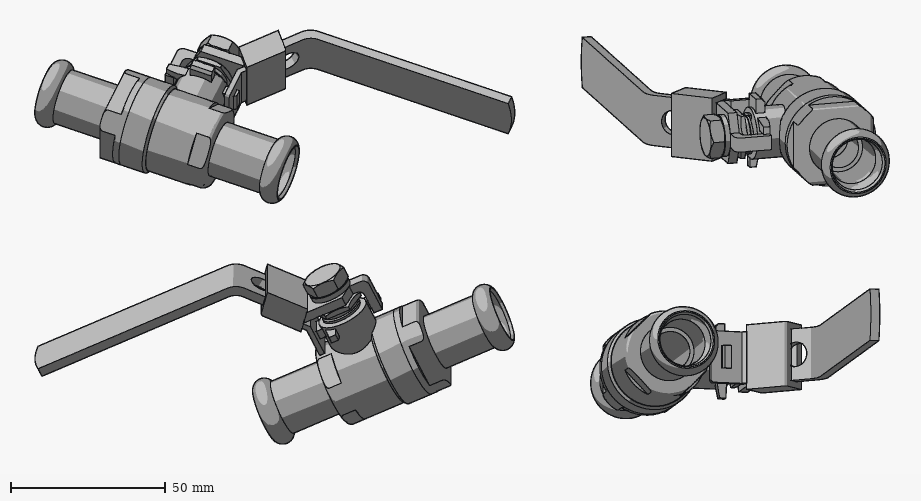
import cadquery as cq
import math


overall_length = 143.9
overall_depth = 65.0

left_end_x = -46.6
right_end_x = 38.4
pipe_dia = 18.4
bead_dia = 22.7
bead_width = 6.3
bead_face_dia = 19.0
mouth_dia = 18.1
seal_rim_dia = 17.0
seal_dia = 19.0
shoulder_dia = 15.5
socket_dia = 15.3
bore_dia = 12.5
seal_start = 1.0
seal_end = 5.3
shoulder_depth = 5.9
socket_start = 7.5
socket_end = 20.1

cap_x = -22.7
cap_flats_end_x = -17.0
joint_x = -14.8
collar_end_x = -5.8
collar_chamfer = 0.9
shell_end_x = 14.1
shell_flats_x = 8.5
collar_dia = 30.0
shell_dia = 28.0
cap_across_flats = 25.8
shell_across_flats = 25.9
edge_radius = 1.3

neck_dia = 17.0
neck_top = 22.5
stop_top = 21.6
stop_bottom = 18.5
stop_reach = 12.4
stop_root = 5.0
stop_slope_height = 0.9
wide_stop_slope = 1.2
tab_stop_slope = 4.0
wide_stop_half_width = 3.7
tab_stop_near = 2.9
tab_stop_far = 6.6
tab_stop_tip_far = 5.3

stem_dia = 8.0
stem_bottom = 10.0
washer_dia = 13.5
washer_thickness = 0.7
washer_rise = 1.0
washer_split_angle = -105
washer_top = 24.2
gland_bottom = 25.5
gland_flats = 14.2
gland_collar_dia = 12.8
gland_top_dia = 11.5
plate_bottom = 28.0
sheet = 3.0
plate_top = plate_bottom + sheet
head_bottom = 32.8
head_top = 37.5
head_flats = 12.7
head_chamfer_dia = 12.5
flange_dia = 13.7
cone_angle = math.radians(30)

lever_width = 17.0
lever_end_x = left_end_x + overall_length
grip_top = overall_depth - collar_dia / 2
tilt = math.radians(50)
tab_width = 4.7
tab_outer_x = -12.7
tab_bottom = 19.0
tab_root_x = -6.5
shoulder_x = -3.9
tab_bend_inner = 2.0
tab_bend_outer = 2.2
grip_bend_inner = 5.8
grip_bend_outer = 6.6
grip_end_sag = 1.2
arm_hole_dia = 8.0
arm_hole_y = 41.7

sleeve_x = 14.8
sleeve_y = 35.3
sleeve_length = 14.4
sleeve_end_length = 8.5
sleeve_corner_radius = 0.9
sleeve_width = 21.3
blade_thickness = 1.7
blade_x = 10.6
blade_bottom = 15.0
blade_bend_y = 25.6
blade_insertion = 5.8
blade_corner_radius = 1.0


def x_cylinder(dia, x_start, x_end):
    return cq.Workplane("YZ", origin=(x_start, 0, 0)).circle(dia / 2).extrude(x_end - x_start)


def y_cylinder(dia, y_start, y_end):
    return cq.Workplane("XZ", origin=(0, y_start, 0)).circle(dia / 2).extrude(y_start - y_end)


def y_hexagon(across_flats, y_start, y_end):
    corner_dia = across_flats / math.cos(math.pi / 6)
    return cq.Workplane("XZ", origin=(0, y_start, 0)).polygon(6, corner_dia).extrude(y_start - y_end)


def turn_about_stem(shape, angle):
    return shape.rotate((0, 0, 0), (0, 1, 0), angle)


def revolve_about_x(outline):
    return outline.close().revolve(360, (0, 0, 0), (1, 0, 0))


def chamfer_cone(end_dia, y_end, y_far):
    """A cone with the given diameter at y_end, widening towards y_far."""
    height = abs(y_far - y_end)
    far_radius = end_dia / 2 + height / math.tan(cone_angle)
    outline = cq.Workplane("XY").moveTo(0, y_end).lineTo(end_dia / 2, y_end)
    return outline.lineTo(far_radius, y_far).lineTo(0, y_far).close().revolve(360, (0, 0, 0), (0, 1, 0))



def pipe_outside(length):
    """A pipe from x = 0 with a rounded bead around its open end."""
    outline = (
        cq.Workplane("XY")
        .moveTo(0, 0)
        .lineTo(0, bead_face_dia / 2)
        .threePointArc((bead_width / 2, bead_dia / 2), (bead_width, pipe_dia / 2))
        .lineTo(length, pipe_dia / 2)
        .lineTo(length, 0)
    )
    return revolve_about_x(outline)


def pipe_inside(length):
    """The hollow of a pipe from x = 0: flared mouth, seal groove, socket and bore."""
    outline = (
        cq.Workplane("XY")
        .moveTo(0, 0)
        .lineTo(0, mouth_dia / 2)
        .lineTo(seal_start, seal_rim_dia / 2)
        .threePointArc(((seal_start + seal_end) / 2, seal_dia / 2), (seal_end, seal_rim_dia / 2))
        .lineTo(shoulder_depth, shoulder_dia / 2)
        .lineTo(socket_start, socket_dia / 2)
        .lineTo(socket_end, socket_dia / 2)
        .lineTo(socket_end, bore_dia / 2)
        .lineTo(length, bore_dia / 2)
        .lineTo(length, 0)
    )
    return revolve_about_x(outline)


def at_left_end(shape):
    return shape.translate((left_end_x, 0, 0))


def at_right_end(shape):
    return shape.mirror("YZ").translate((right_end_x, 0, 0))



def make_cap():
    ring = x_cylinder(collar_dia, cap_flats_end_x, joint_x)
    square = (
        cq.Workplane("YZ", origin=(cap_x, 0, 0))
        .rect(cap_across_flats, cap_across_flats)
        .extrude(cap_flats_end_x - cap_x)
        .faces("<X")
        .edges()
        .fillet(edge_radius)
    )
    square = square.intersect(x_cylinder(collar_dia, cap_x, cap_flats_end_x))
    length = joint_x - left_end_x
    pipe = at_left_end(pipe_outside(length))
    return ring.union(square).union(pipe).cut(at_left_end(pipe_inside(length)))



def stop_profile(slope_length):
    """The side outline of a stop along +X, sloped underneath towards its tip."""
    outline = [
        (stop_root, stop_bottom),
        (stop_reach - slope_length, stop_bottom),
        (stop_reach, stop_bottom + stop_slope_height),
        (stop_reach, stop_top),
        (stop_root, stop_top),
    ]
    return cq.Workplane("XY").polyline(outline).close()


def wide_stop():
    """The plain stop along +X; it also fills the window of the latch."""
    return stop_profile(wide_stop_slope).extrude(wide_stop_half_width, both=True)


def tab_stop():
    """A tapered stop along +X, beside the lever tab on its +Z side."""
    plan = [
        (stop_root, -tab_stop_near),
        (stop_reach, -tab_stop_near),
        (stop_reach, -tab_stop_tip_far),
        (stop_root, -tab_stop_far),
    ]
    plan_prism = cq.Workplane("XZ").polyline(plan).close().extrude(-neck_top)
    return stop_profile(tab_stop_slope).extrude(neck_dia, both=True).intersect(plan_prism)


def make_shell():
    shell = x_cylinder(shell_dia, joint_x, shell_end_x).faces(">X").edges().fillet(edge_radius)
    flats_length = right_end_x - shell_flats_x
    flats = (
        cq.Workplane("YZ", origin=(shell_flats_x, 0, 0))
        .rect(2 * shell_dia, 2 * shell_dia)
        .rect(shell_across_flats, shell_across_flats)
        .extrude(flats_length)
        .rotate((0, 0, 0), (1, 0, 0), 45)
    )
    collar = x_cylinder(collar_dia, joint_x, collar_end_x)
    collar = collar.faces(">X").edges().chamfer(collar_chamfer)
    return shell.cut(flats).union(collar)


def make_body():
    body = make_shell().union(y_cylinder(neck_dia, 0, neck_top))
    body = body.union(wide_stop()).union(turn_about_stem(wide_stop(), -90))
    open_stop = turn_about_stem(tab_stop(), 180)
    closed_stop = turn_about_stem(tab_stop().mirror("XY"), 90)
    body = body.union(open_stop).union(closed_stop)
    length = right_end_x - joint_x
    body = body.union(at_right_end(pipe_outside(length)))
    body = body.cut(at_right_end(pipe_inside(length)))
    return body.cut(y_cylinder(stem_dia, stem_bottom, neck_top))



def make_lock_washer():
    """One turn of a flat spiral around the stem, between the neck and the gland nut."""
    mean_radius = (washer_dia + stem_dia) / 4
    ring_width = (washer_dia - stem_dia) / 2
    spiral = cq.Wire.makeHelix(washer_rise, washer_rise, mean_radius)
    section = cq.Workplane("XZ").center(mean_radius, 0).rect(ring_width, washer_thickness)
    washer = section.sweep(cq.Workplane(obj=spiral), isFrenet=True)
    washer = washer.rotate((0, 0, 0), (1, 0, 0), -90)
    washer = turn_about_stem(washer, washer_split_angle)
    return washer.translate((0, neck_top + washer_thickness / 2, 0))


def make_gland_nut():
    nut = y_hexagon(gland_flats, gland_bottom, plate_bottom)
    nut = nut.intersect(chamfer_cone(gland_top_dia, plate_bottom, gland_bottom))
    nut = nut.union(y_cylinder(gland_collar_dia, washer_top, gland_bottom))
    return nut.cut(y_cylinder(stem_dia, washer_top, plate_bottom))


def make_stem():
    """The hexagon head with its flange, and the shank that carries the stack."""
    head = y_hexagon(head_flats, head_bottom, head_top)
    head = head.intersect(chamfer_cone(head_chamfer_dia, head_top, head_bottom))
    head = head.intersect(chamfer_cone(head_chamfer_dia, head_bottom, head_top))
    flange = y_cylinder(flange_dia, plate_top, head_bottom)
    shank = y_cylinder(stem_dia, stem_bottom, plate_top)
    return head.union(flange).union(shank)



def strip_sides(path, thickness):
    """The mitred corners on both sides of a bent strip along a centre path."""
    angles = [math.atan2(b[1] - a[1], b[0] - a[0]) for a, b in zip(path, path[1:])]
    starts = [angles[0]] + angles
    ends = angles + [angles[-1]]
    left = []
    right = []
    for (x, y), before, after in zip(path, starts, ends):
        normal = (before + after) / 2 + math.pi / 2
        reach = thickness / 2 / math.cos((after - before) / 2)
        left.append((x + reach * math.cos(normal), y + reach * math.sin(normal)))
        right.append((x - reach * math.cos(normal), y - reach * math.sin(normal)))
    return left, right


def bent_strip(path, thickness, width):
    left, right = strip_sides(path, thickness)
    strip = cq.Workplane("XY").polyline(left + right[::-1]).close()
    return strip.extrude(width / 2, both=True)


def round_corner(strip, corner, radius):
    return strip.edges(cq.selectors.NearestToPointSelector((*corner, 0))).fillet(radius)


def arm_point(y):
    """The point at height y on the tilted axis that the arm and the sleeve share."""
    return (sleeve_x + (y - sleeve_y) / math.tan(tilt), y)


def lever_path():
    """The centre of the strip: up the tab, along the plate, up the arm, along the grip."""
    tab_x = tab_outer_x + sheet / 2
    plate_y = plate_bottom + sheet / 2
    grip_y = grip_top - sheet / 2
    return [
        (tab_x, tab_bottom),
        (tab_x, plate_y),
        arm_point(plate_y),
        arm_point(grip_y),
        (lever_end_x, grip_y),
    ]


def lever_plan():
    """The lever seen along the stem: narrow tab, tapered shoulders, arched end."""
    half = lever_width / 2
    half_tab = tab_width / 2
    return (
        cq.Workplane("XZ")
        .moveTo(tab_outer_x, half_tab)
        .lineTo(tab_root_x, half_tab)
        .lineTo(shoulder_x, half)
        .lineTo(lever_end_x - grip_end_sag, half)
        .threePointArc((lever_end_x, 0), (lever_end_x - grip_end_sag, -half))
        .lineTo(shoulder_x, -half)
        .lineTo(tab_root_x, -half_tab)
        .lineTo(tab_outer_x, -half_tab)
        .close()
        .extrude(-grip_top)
    )


def make_lever():
    path = lever_path()
    left, right = strip_sides(path, sheet)
    lever = bent_strip(path, sheet, lever_width)
    lever = round_corner(lever, left[1], tab_bend_outer)
    lever = round_corner(lever, right[1], tab_bend_inner)
    lever = round_corner(lever, left[3], grip_bend_outer)
    lever = round_corner(lever, right[3], grip_bend_inner)
    lever = lever.intersect(lever_plan())
    lever = lever.cut(y_cylinder(stem_dia, plate_bottom, plate_top))
    hole = (
        cq.Workplane("XZ")
        .circle(arm_hole_dia / 2)
        .extrude(sheet, both=True)
        .rotate((0, 0, 0), (0, 0, 1), math.degrees(tilt))
        .translate((*arm_point(arm_hole_y), 0))
    )
    return lever.cut(hole)



def make_latch():
    """A sleeve that slides on the arm, with a blade that hooks over the stop beside it."""
    half_length_x = sleeve_length / 2 * math.cos(tilt)
    half_length_y = sleeve_length / 2 * math.sin(tilt)
    half_end_x = sleeve_end_length / 2 * math.cos(tilt)
    half_end_y = sleeve_end_length / 2 * math.sin(tilt)
    corners = [
        (-half_length_x - half_end_x, -half_length_y + half_end_y),
        (half_length_x - half_end_x, half_length_y + half_end_y),
        (half_length_x + half_end_x, half_length_y - half_end_y),
        (-half_length_x + half_end_x, -half_length_y - half_end_y),
    ]
    sleeve = cq.Workplane("XY", origin=(sleeve_x, sleeve_y, 0)).polyline(corners).close()
    sleeve = sleeve.extrude(sleeve_width / 2, both=True)
    sleeve = sleeve.edges("|Z").edges(">X").fillet(sleeve_corner_radius)
    arm = bent_strip(lever_path(), sheet, lever_width)
    bend = (blade_x, blade_bend_y)
    inserted = (
        blade_x + blade_insertion * math.cos(tilt),
        blade_bend_y + blade_insertion * math.sin(tilt),
    )
    blade = bent_strip([(blade_x, blade_bottom), bend, inserted], blade_thickness, lever_width)
    blade = blade.faces("<Y").edges("|X").fillet(blade_corner_radius)
    return sleeve.union(blade).cut(arm).cut(wide_stop())


cap = make_cap()
body = make_body()
lock_washer = make_lock_washer()
gland_nut = make_gland_nut()
stem = make_stem()
lever = make_lever()
latch = make_latch()

bodies = [cap, body, lock_washer, gland_nut, stem, lever, latch]
result = cq.Compound.makeCompound([part.solids().val() for part in bodies])